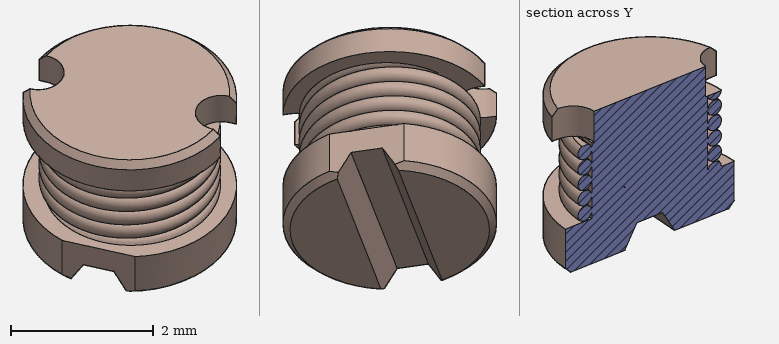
import cadquery as cq
import math

flange_radius = 1.5
flange_chamfer = 0.1
base_height = 0.75
top_flange_bottom = 2.0
total_height = 2.5
flat_distance = 1.4

wire_radius = 0.125
coil_outer_radius = 1.275
helix_radius = coil_outer_radius - wire_radius
post_radius = helix_radius - wire_radius
post_overlap = 0.005
post_end_margin = 0.1
helix_pitch = 0.253
winding_turns = 6
winding_start_angle = 180
top_crossing_height = 2.015

lead_notch_radius = 0.36
lead_notch_center = 1.35

channel_depth = 0.375
channel_roof_width = 0.45
channel_wall_angle = 30


def make_base():
    base = cq.Workplane("XY").circle(flange_radius).extrude(base_height)
    base = base.faces("<Z").chamfer(flange_chamfer)
    between_flats = cq.Workplane("XY").box(
        2 * flange_radius, 2 * flat_distance, base_height, centered=(True, True, False)
    )
    return base.intersect(between_flats).cut(make_channel())


def make_channel():
    half_roof = channel_roof_width / 2
    half_mouth = half_roof + channel_depth * math.tan(math.radians(channel_wall_angle))
    profile = [
        (-half_mouth, 0),
        (-half_roof, channel_depth),
        (half_roof, channel_depth),
        (half_mouth, 0),
    ]
    return cq.Workplane("XZ").polyline(profile).close().extrude(flange_radius, both=True)


def make_top_flange():
    thickness = total_height - top_flange_bottom
    flange = cq.Workplane("XY").workplane(offset=top_flange_bottom).circle(flange_radius).extrude(thickness)
    flange = flange.faces(">Z").chamfer(flange_chamfer)
    for side in (-1, 1):
        flange = flange.cut(make_lead_notch(side, thickness))
    return flange


def make_lead_notch(side, thickness):
    """U-shaped notch with a round inner end, open at the flange rim."""
    plane = cq.Workplane("XY").workplane(offset=top_flange_bottom)
    return (
        plane.moveTo(side * flange_radius, -lead_notch_radius)
        .lineTo(side * lead_notch_center, -lead_notch_radius)
        .threePointArc(
            (side * (lead_notch_center - lead_notch_radius), 0),
            (side * lead_notch_center, lead_notch_radius),
        )
        .lineTo(side * flange_radius, lead_notch_radius)
        .close()
        .extrude(thickness)
    )


def make_post():
    """Post core, running on into both flanges."""
    height = total_height - channel_depth - 2 * post_end_margin
    post = cq.Workplane("XY").workplane(offset=channel_depth + post_end_margin)
    return post.circle(post_radius + post_overlap).extrude(height)


def make_coil():
    """Right-handed wire coil, untrimmed; its ends reach past the gap between the flanges."""
    length = winding_turns * helix_pitch
    rise_past_crossing = helix_pitch * winding_start_angle / 360
    start_height = top_crossing_height + rise_past_crossing - length
    path = cq.Wire.makeHelix(helix_pitch, length, helix_radius)
    coil = cq.Workplane("XZ").center(helix_radius, 0).circle(wire_radius).sweep(path, isFrenet=True)
    coil = coil.rotate((0, 0, 0), (0, 0, 1), winding_start_angle)
    return coil.translate((0, 0, start_height))


def make_wound_post():
    """Post and coil, trimmed flush with the facing sides of the two flanges."""
    gap_height = top_flange_bottom - base_height
    gap = cq.Workplane("XY").workplane(offset=base_height).circle(flange_radius).extrude(gap_height)
    return make_post().union(make_coil()).intersect(gap)


result = make_base().union(make_wound_post()).union(make_top_flange())